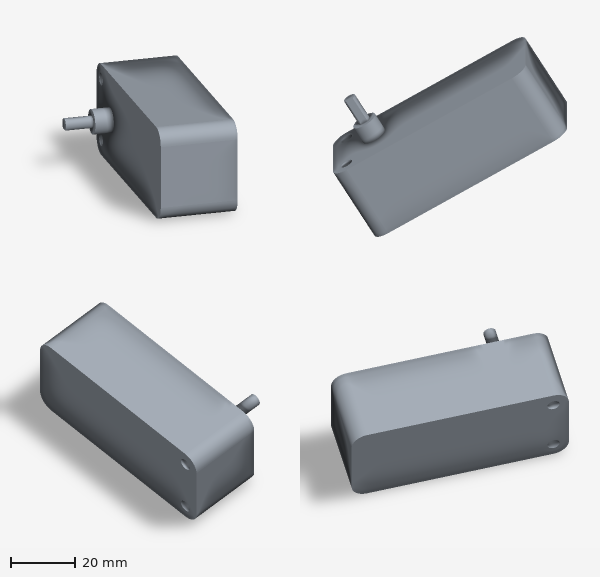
import cadquery as cq

body_length = 70.0
body_height = 30.0
body_depth = 25.0
corner_radius = 5.0

hole_diameter = 4.0
hole_x = -body_length / 2 + corner_radius
hole_z = body_height / 2 - corner_radius

shaft_x = -body_length / 2 + 15.0
boss_diameter = 8.0
boss_length = 6.0
shaft_diameter = 4.0
shaft_reach = 15.0
flat_offset = 1.6


def make_body():
    body = (
        cq.Workplane("XZ")
        .rect(body_length, body_height)
        .extrude(-body_depth)
        .edges("|Y")
        .fillet(corner_radius)
    )
    holes = (
        cq.Workplane("XZ")
        .pushPoints([(hole_x, -hole_z), (hole_x, hole_z)])
        .circle(hole_diameter / 2)
        .extrude(-body_depth)
    )
    return body.cut(holes)


def make_boss():
    return cq.Workplane("XZ").center(shaft_x, 0).circle(boss_diameter / 2).extrude(boss_length)


def make_shaft():
    shaft_radius = shaft_diameter / 2
    round_shaft = cq.Workplane("XZ").center(shaft_x, 0).circle(shaft_radius).extrude(shaft_reach)
    kept_height = shaft_radius + flat_offset
    kept_zone = (
        cq.Workplane("XZ")
        .center(shaft_x, kept_height / 2 - flat_offset)
        .rect(shaft_diameter, kept_height)
        .extrude(shaft_reach)
    )
    return round_shaft.intersect(kept_zone)


result = make_body().union(make_boss()).union(make_shaft())